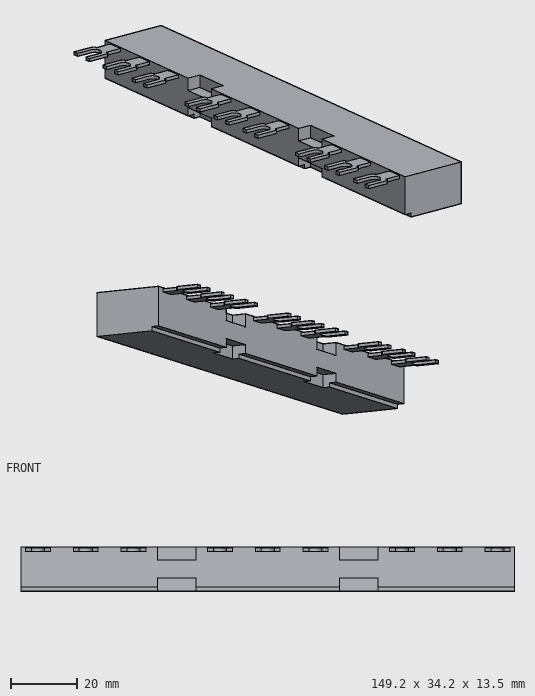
import cadquery as cq

LENGTH = 149.2
HEIGHT = 13.5
OVERALL_DEPTH = 34.2
TERMINAL_REACH = 12.8
HOUSING_DEPTH = OVERALL_DEPTH - TERMINAL_REACH
FRONT_Y = -HOUSING_DEPTH

REBATE_DEPTH = 2.3
REBATE_HEIGHT = 1.3

GROUP_SPACING = 55.0
TERMINAL_PITCH = 14.4
POSITIONS = (-1, 0, 1)

NOTCH_WIDTH = 11.6
NOTCH_DEPTH = 4.5
NOTCH_HEIGHT = 4.0
NOTCH_CENTRES = (-GROUP_SPACING / 2, GROUP_SPACING / 2)

TERMINAL_THICKNESS = 1.0
TERMINAL_TOP_GAP = 0.35
NECK_WIDTH = 5.0
NECK_LENGTH = 5.2
FORK_WIDTH = 7.5
SLOT_WIDTH = 4.0
SLOT_LENGTH = 7.0
SHOULDER_CHAMFER = 0.6


def box_at(x_centre, y_min, z_min, size_x, size_y, size_z):
    """Box centred on x_centre that grows from y_min and z_min."""
    box = cq.Workplane("XY").box(size_x, size_y, size_z, centered=(True, False, False))
    return box.translate((x_centre, y_min, z_min))


def make_housing():
    """Plain bar with the rebate and the upper and lower notches removed."""
    housing = box_at(0, FRONT_Y, 0, LENGTH, HOUSING_DEPTH, HEIGHT)
    housing = housing.cut(box_at(0, FRONT_Y, 0, LENGTH, REBATE_DEPTH, REBATE_HEIGHT))
    for x_centre in NOTCH_CENTRES:
        for z_min in (0, HEIGHT - NOTCH_HEIGHT):
            notch = box_at(x_centre, FRONT_Y, z_min, NOTCH_WIDTH, NOTCH_DEPTH, NOTCH_HEIGHT)
            housing = housing.cut(notch)
    return housing


def make_terminal():
    """Flat fork at X = 0, rooted on the front face and open toward -Y."""
    neck_half = NECK_WIDTH / 2
    fork_half = FORK_WIDTH / 2
    slot_half = SLOT_WIDTH / 2
    shoulder_y = FRONT_Y - NECK_LENGTH
    tip_y = FRONT_Y - TERMINAL_REACH
    slot_end_y = tip_y + SLOT_LENGTH
    slot_arc_y = slot_end_y - slot_half
    outline = (
        cq.Workplane("XY", origin=(0, 0, HEIGHT - TERMINAL_TOP_GAP - TERMINAL_THICKNESS))
        .moveTo(-neck_half, FRONT_Y)
        .lineTo(-neck_half, shoulder_y)
        .lineTo(-fork_half + SHOULDER_CHAMFER, shoulder_y)
        .lineTo(-fork_half, shoulder_y - SHOULDER_CHAMFER)
        .lineTo(-fork_half, tip_y)
        .lineTo(-slot_half, tip_y)
        .lineTo(-slot_half, slot_arc_y)
        .threePointArc((0, slot_end_y), (slot_half, slot_arc_y))
        .lineTo(slot_half, tip_y)
        .lineTo(fork_half, tip_y)
        .lineTo(fork_half, shoulder_y - SHOULDER_CHAMFER)
        .lineTo(fork_half - SHOULDER_CHAMFER, shoulder_y)
        .lineTo(neck_half, shoulder_y)
        .lineTo(neck_half, FRONT_Y)
        .close()
    )
    return outline.extrude(TERMINAL_THICKNESS)


def add_terminals(housing):
    """Three groups of three forks along the front face."""
    terminal = make_terminal()
    for group in POSITIONS:
        for place in POSITIONS:
            x_centre = group * GROUP_SPACING + place * TERMINAL_PITCH
            housing = housing.union(terminal.translate((x_centre, 0, 0)))
    return housing


result = add_terminals(make_housing())